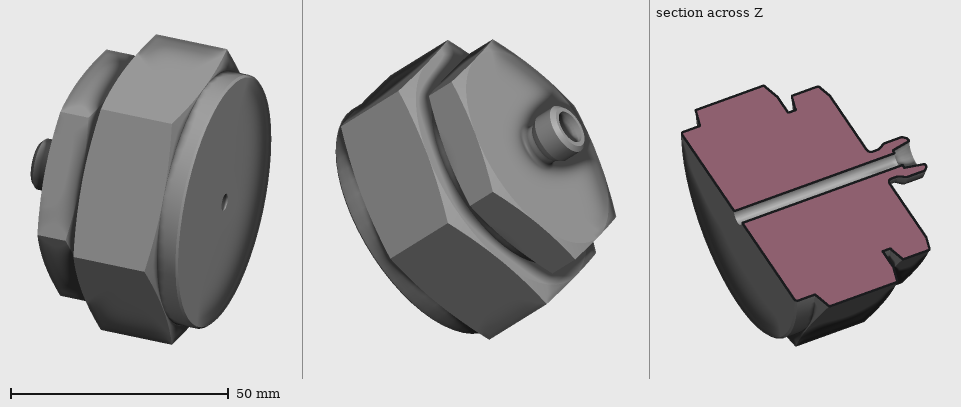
import cadquery as cq
import math

LARGE_HEX_CORNERS = 69.3
SMALL_HEX_CORNERS = 57.7
HEX_SIDES = 6
HEX_CHAMFER_ANGLE = 15.0
COLLAR_DIAMETER = 49.0
FLANGE_DIAMETER = 59.6
FLANGE_CHAMFER = 0.5

NOSE_LENGTH = 10.0
SMALL_HEX_LENGTH = 9.0
COLLAR_LENGTH = 1.95
LARGE_HEX_LENGTH = 20.0
FLANGE_LENGTH = 5.0

NOSE_DIAMETER = 12.0
NOSE_CHAMFER = 1.0
NOSE_SHOULDER_X = 5.55
WAIST_DIAMETER = 9.7
WAIST_START_X = 7.4
NOSE_ROOT_RADIUS = 1.05

BORE_DIAMETER = 4.0
CONE_MOUTH_DIAMETER = 8.0
CONE_END_DIAMETER = 5.95
CONE_HALF_ANGLE = 12.0

small_hex_x = NOSE_LENGTH
collar_x = small_hex_x + SMALL_HEX_LENGTH
large_hex_x = collar_x + COLLAR_LENGTH
flange_x = large_hex_x + LARGE_HEX_LENGTH
end_x = flange_x + FLANGE_LENGTH


def disc(start_x, length, diameter):
    """Cylinder along X."""
    return cq.Workplane("YZ", origin=(start_x, 0, 0)).circle(diameter / 2).extrude(length)


def revolve_about_x(profile):
    """Full turn about X of a closed profile drawn in (X, radius)."""
    return profile.close().revolve(360, (0, 0, 0), (1, 0, 0))


def chamfered_hex(start_x, length, corners):
    """Hexagon with corners on Y, both ends turned down to a circle touching the flats."""
    corner_radius = corners / 2
    face_radius = corner_radius * math.cos(math.pi / HEX_SIDES)
    chamfer_depth = (corner_radius - face_radius) * math.tan(math.radians(HEX_CHAMFER_ANGLE))
    stop_x = start_x + length
    prism = cq.Workplane("YZ", origin=(start_x, 0, 0)).polygon(HEX_SIDES, corners).extrude(length)
    turned_envelope = revolve_about_x(
        cq.Workplane("XY")
        .moveTo(start_x, 0)
        .lineTo(start_x, face_radius)
        .lineTo(start_x + chamfer_depth, corner_radius)
        .lineTo(stop_x - chamfer_depth, corner_radius)
        .lineTo(stop_x, face_radius)
        .lineTo(stop_x, 0)
    )
    return prism.intersect(turned_envelope)


def nose():
    """Connector nose with a chamfered tip, a narrower waist and a filleted root."""
    nose_radius = NOSE_DIAMETER / 2
    waist_radius = WAIST_DIAMETER / 2
    return revolve_about_x(
        cq.Workplane("XY")
        .lineTo(0, nose_radius - NOSE_CHAMFER)
        .lineTo(NOSE_CHAMFER, nose_radius)
        .lineTo(NOSE_SHOULDER_X, nose_radius)
        .lineTo(WAIST_START_X, waist_radius)
        .lineTo(NOSE_LENGTH - NOSE_ROOT_RADIUS, waist_radius)
        .radiusArc((NOSE_LENGTH, waist_radius + NOSE_ROOT_RADIUS), -NOSE_ROOT_RADIUS)
        .lineTo(NOSE_LENGTH, 0)
    )


def bore():
    """Through bore with a tapered seat at the nose, ending in a flat shoulder."""
    mouth_radius = CONE_MOUTH_DIAMETER / 2
    shoulder_radius = CONE_END_DIAMETER / 2
    cone_depth = (mouth_radius - shoulder_radius) / math.tan(math.radians(CONE_HALF_ANGLE))
    return revolve_about_x(
        cq.Workplane("XY")
        .lineTo(0, mouth_radius)
        .lineTo(cone_depth, shoulder_radius)
        .lineTo(cone_depth, BORE_DIAMETER / 2)
        .lineTo(end_x, BORE_DIAMETER / 2)
        .lineTo(end_x, 0)
    )


small_hex = chamfered_hex(small_hex_x, SMALL_HEX_LENGTH, SMALL_HEX_CORNERS)
collar = disc(collar_x, COLLAR_LENGTH, COLLAR_DIAMETER)
large_hex = chamfered_hex(large_hex_x, LARGE_HEX_LENGTH, LARGE_HEX_CORNERS)
flange = disc(flange_x, FLANGE_LENGTH, FLANGE_DIAMETER).faces(">X").chamfer(FLANGE_CHAMFER)

body = nose().union(small_hex).union(collar).union(large_hex).union(flange)
result = body.cut(bore())